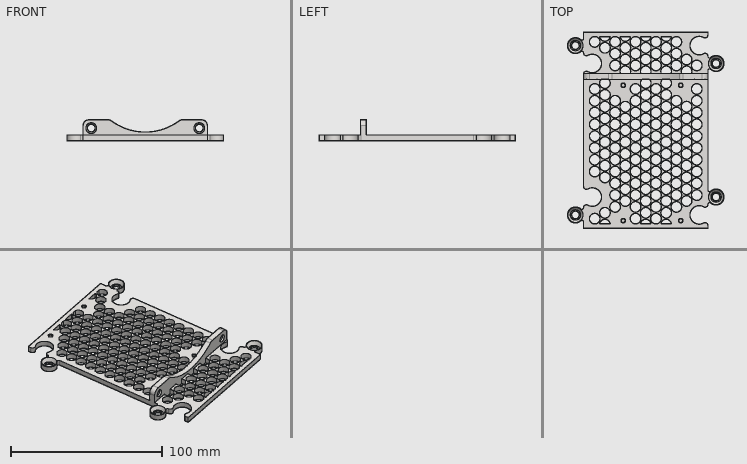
import cadquery as cq
import math

plate_width = 82.4
plate_length = 129.9
plate_thickness = 4.0

part_height = 14.0
wall_front_y = 33.7
wall_thickness = 4.0
wall_corner_radius = 4.0
dip_half_width = 23.4
dip_bottom_z = 5.8
dip_edge_radius = 4.0

wall_screw_x = 35.7
wall_screw_z = 8.5
wall_screw_hole = 5.0
wall_screw_sink = 7.1
wall_screw_sink_depth = 2.6

ear_x = 46.5
left_ear_y = 56.0
right_ear_y = 44.2
ear_diameter = 10.7
ear_fillet = 1.0
ear_screw_hole = 5.0
ear_sink_top = 10.0
ear_sink_floor = 6.9
ear_sink_depth = 2.6

cutout_x = 35.3
cutout_diameter = 12.1
cutout_lip_radius = 2.0

pilot_hole = 2.5
pilot_mouth = 3.1
pilot_mouth_depth = 0.6
pilot_depth = 3.0
pilot_xs = (-15.0, 23.1)
pilot_ys = (-59.8, 29.8)

vent_diameter = 6.9
vent_pitch = 7.8
vent_side_columns = 5
vent_side_rows = 8
vent_end_margin = 3.2
pilot_keep_out = 7.8
cutout_keep_out = 11.7

half_width = plate_width / 2
half_length = plate_length / 2
wall_back_y = wall_front_y + wall_thickness
up = (0, 0, 1)
down = (0, 0, -1)
backward = (0, 1, 0)

ear_points = [(-ear_x, left_ear_y), (-ear_x, -left_ear_y), (ear_x, right_ear_y), (ear_x, -right_ear_y)]
cutout_points = [(-math.copysign(cutout_x, x), y) for x, y in ear_points]
pilot_points = [(x, y) for x in pilot_xs for y in pilot_ys]


def block(x_min, x_max, y_min, y_max, height):
    """Box between the given sides, standing on z = 0."""
    size = (x_max - x_min, y_max - y_min, height)
    return cq.Workplane("XY").box(*size, centered=False).translate((x_min, y_min, 0))


def cylinder(diameter, length, start, direction=up):
    solid = cq.Solid.makeCylinder(diameter / 2, length, cq.Vector(*start), cq.Vector(*direction))
    return cq.Workplane(solid)


def cone(start_diameter, end_diameter, length, start, direction):
    solid = cq.Solid.makeCone(
        start_diameter / 2, end_diameter / 2, length, cq.Vector(*start), cq.Vector(*direction)
    )
    return cq.Workplane(solid)


def make_wall():
    """Wall reaching down to the underside, so the plate is solid beneath it."""
    wall = block(-half_width, half_width, wall_front_y, wall_back_y, part_height)
    wall = wall.edges("|Y and >Z").fillet(wall_corner_radius)

    dip_rise = part_height - dip_bottom_z
    dip_radius = (dip_half_width**2 + dip_rise**2) / (2 * dip_rise)
    dip_start = (0, wall_front_y, dip_bottom_z + dip_radius)
    wall = wall.cut(cylinder(2 * dip_radius, wall_thickness, dip_start, backward))

    margin = 1.3
    dip_corners = cq.selectors.BoxSelector(
        (-dip_half_width - margin, wall_front_y - margin, part_height - margin),
        (dip_half_width + margin, wall_back_y + margin, part_height + margin),
    )
    wall = wall.edges("|Y").edges(dip_corners).fillet(dip_edge_radius)

    for x in (-wall_screw_x, wall_screw_x):
        start = (x, wall_front_y, wall_screw_z)
        wall = wall.cut(cylinder(wall_screw_hole, wall_thickness, start, backward))
        wall = wall.cut(cone(wall_screw_sink, wall_screw_hole, wall_screw_sink_depth, start, backward))
    return wall


def is_near(point, others, distance):
    return any(math.dist(point, other) < distance for other in others)


def vent_points():
    """Staggered grid, left blank around the cutouts, the pilot holes and under the wall."""
    column_step = vent_pitch * math.sqrt(3) / 2
    points = []
    for column in range(-vent_side_columns, vent_side_columns + 1):
        stagger = vent_pitch / 2 * (column % 2)
        for row in range(-vent_side_rows, vent_side_rows + 1):
            point = (column * column_step, row * vent_pitch + stagger)
            blank = (
                is_near(point, pilot_points, pilot_keep_out)
                or is_near(point, cutout_points, cutout_keep_out)
                or wall_front_y < point[1] < wall_back_y
            )
            if not blank:
                points.append(point)
    return points


def make_vents():
    """Ventilation holes, trimmed straight at the wall and along both plate ends."""
    vents = cq.Workplane("XY").pushPoints(vent_points()).circle(vent_diameter / 2).extrude(plate_thickness)
    vent_end_y = half_length - vent_end_margin
    front_area = block(-half_width, half_width, -vent_end_y, wall_front_y, plate_thickness)
    rear_area = block(-half_width, half_width, wall_back_y, vent_end_y, plate_thickness)
    return vents.intersect(front_area.union(rear_area))


def make_throat(round_x, round_radius, edge_x, corner_x, corner_radius, height):
    """Round at (round_x, 0) with a passage to the straight edge x = edge_x.

    The passage sides are arcs of corner_radius, centred on x = corner_x, that blend the round into the edge.
    """
    corner_y = math.sqrt((round_radius + corner_radius) ** 2 - (corner_x - round_x) ** 2)
    throat = (
        cq.Workplane("XY")
        .moveTo(round_x, 0)
        .lineTo(corner_x, corner_y)
        .lineTo(edge_x, corner_y)
        .lineTo(edge_x, -corner_y)
        .lineTo(corner_x, -corner_y)
        .close()
        .extrude(height)
    )
    for y in (-corner_y, corner_y):
        throat = throat.cut(cylinder(2 * corner_radius, height, (corner_x, y, 0)))
    return throat.union(cylinder(2 * round_radius, height, (round_x, 0, 0)))


def place(right_side_shape, x, y):
    """Move a shape made on the +X side along Y to y, mirrored when x is negative."""
    shape = right_side_shape.mirror("YZ") if x < 0 else right_side_shape
    return shape.translate((0, y, 0))


def make_ear(x, y):
    """Round screw ear blended into the long side of the plate."""
    fillet_x = half_width + ear_fillet
    ear = make_throat(ear_x, ear_diameter / 2, half_width, fillet_x, ear_fillet, plate_thickness)
    return place(ear, x, y)


def make_ear_hole(x, y):
    """Through hole below a wider conical recess with a flat floor."""
    hole = cylinder(ear_screw_hole, plate_thickness, (x, y, 0))
    return hole.union(cone(ear_sink_top, ear_sink_floor, ear_sink_depth, (x, y, plate_thickness), down))


def make_cutout(x, y):
    """Round cutout whose mouth in the long side has rounded lips, tall enough to trim the wall beside it."""
    lip_x = half_width - cutout_lip_radius
    cutout = make_throat(cutout_x, cutout_diameter / 2, half_width, lip_x, cutout_lip_radius, part_height)
    return place(cutout, x, y)


def make_pilot(x, y):
    start = (x, y, plate_thickness)
    mouth = cone(pilot_mouth, pilot_hole, pilot_mouth_depth, start, down)
    return cylinder(pilot_hole, pilot_depth, start, down).union(mouth)


plate = block(-half_width, half_width, -half_length, half_length, plate_thickness)
result = plate.cut(make_vents()).union(make_wall())
for ear_point in ear_points:
    result = result.union(make_ear(*ear_point)).cut(make_ear_hole(*ear_point))
for cutout_point in cutout_points:
    result = result.cut(make_cutout(*cutout_point))
for pilot_point in pilot_points:
    result = result.cut(make_pilot(*pilot_point))